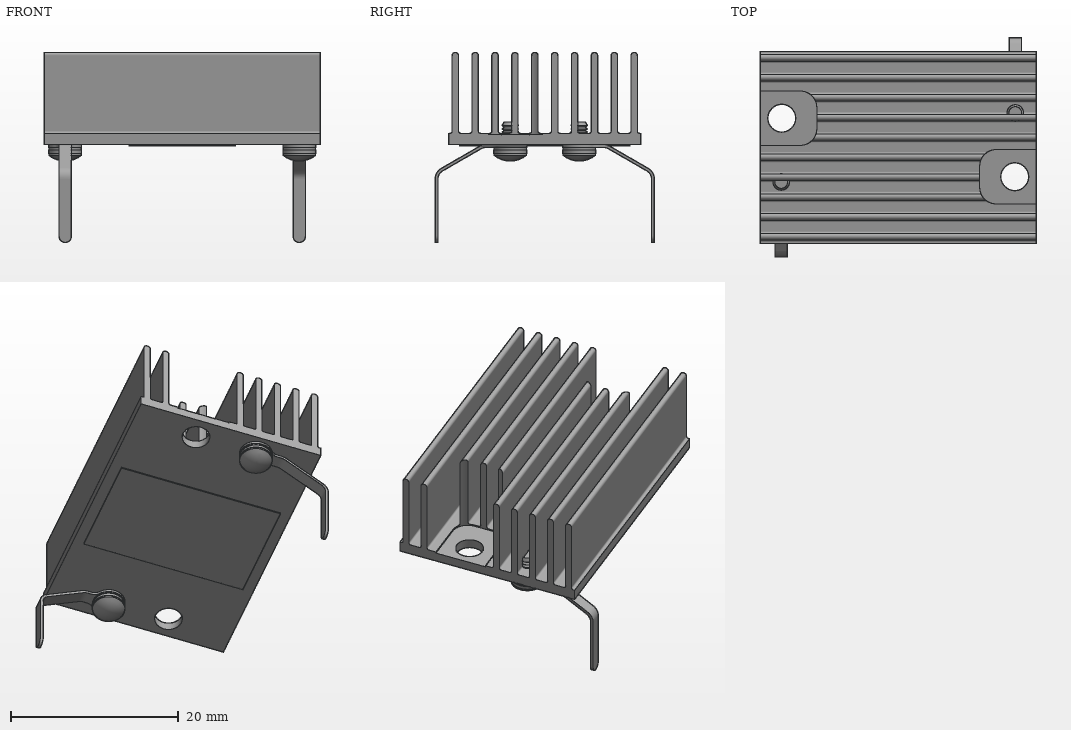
import cadquery as cq
import math

sink_length = 32.95
plate_width = 22.93
plate_thickness = 1.35
sink_height = 11.0
fin_count = 10
fin_pitch = 2.37
fin_thickness = 0.8
fin_root_radius = 0.247

pad_length = 6.75
pad_width = 6.5
pad_corner_radius = 1.98
pad_depth = 0.15
mount_hole_diameter = 3.3
mount_hole_x = 13.9
mount_hole_y = 3.5

film_length = 12.7
film_width = 20.3
film_thickness = 0.15

screw_x = 13.97
screw_y = 4.12
thread_radius = 1.0
thread_root_radius = 0.75
thread_pitch = 0.4
tip_taper_height = 0.43
screw_top = 2.7
flat_washer_radius = 1.95
flat_washer_thickness = 0.25
lock_washer_radius = 1.98
lock_washer_thickness = 0.43
head_radius = 1.95
head_rim_height = 0.23
head_dome_height = 0.7

strip_thickness = 0.35
ring_radius = 1.98
leg_width = 1.48
ring_blend_radius = 1.12
leg_span = 26.2
leg_bottom = 11.7
bend_inner_radius = 1.12
slope_angle = 30.0
lower_bend_end = 4.12

half_turns = (0, 180)

bend_outer_radius = bend_inner_radius + strip_thickness
leg_reach = leg_span / 2


def turned(body, angle):
    return body.rotate((0, 0, 0), (0, 0, 1), angle)


def fin_profile_plate():
    """Plate with round-topped fins, extruded along X from one outline."""
    half_width = plate_width / 2
    half_fin = fin_thickness / 2
    root_z = plate_thickness + fin_root_radius
    shoulder_z = sink_height - half_fin
    mid = fin_root_radius * (1 - math.sqrt(0.5))

    outline = cq.Workplane("YZ", origin=(-sink_length / 2, 0, 0))
    outline = outline.moveTo(-half_width, 0).lineTo(-half_width, plate_thickness)
    for index in range(fin_count):
        fin_y = (index - (fin_count - 1) / 2) * fin_pitch
        left = fin_y - half_fin
        right = fin_y + half_fin
        outline = (
            outline.lineTo(left - fin_root_radius, plate_thickness)
            .threePointArc((left - mid, plate_thickness + mid), (left, root_z))
            .lineTo(left, shoulder_z)
            .threePointArc((fin_y, sink_height), (right, shoulder_z))
            .lineTo(right, root_z)
            .threePointArc((right + mid, plate_thickness + mid), (right + fin_root_radius, plate_thickness))
        )
    outline = outline.lineTo(half_width, plate_thickness).lineTo(half_width, 0).close()
    return outline.extrude(sink_length)


def mounting_pad_cut():
    """Clearance through the fins and hole through the plate at the -X, +Y corner."""
    floor_z = plate_thickness - pad_depth
    clearance = (
        cq.Workplane("XY", origin=(-sink_length / 2 + pad_length / 2, mount_hole_y, floor_z))
        .rect(pad_length, pad_width)
        .extrude(sink_height)
        .edges("|Z and >X")
        .fillet(pad_corner_radius)
    )
    hole = (
        cq.Workplane("XY", origin=(-mount_hole_x, mount_hole_y, 0))
        .circle(mount_hole_diameter / 2)
        .extrude(plate_thickness)
    )
    return clearance.union(hole)


def screw_hole_cut():
    """Screw hole at the +X, +Y corner, biting into the fin beside it."""
    return cq.Workplane("XY", origin=(screw_x, screw_y, 0)).circle(thread_radius).extrude(screw_top)


def make_heat_sink():
    sink = fin_profile_plate()
    for angle in half_turns:
        sink = sink.cut(turned(mounting_pad_cut(), angle))
        sink = sink.cut(turned(screw_hole_cut(), angle))
    return sink


def make_thermal_film():
    return (
        cq.Workplane("XY", origin=(0, 0, -film_thickness))
        .rect(film_length, film_width)
        .extrude(film_thickness)
    )


def make_screw():
    """Pan-head screw revolved about its axis, with washers and V-shaped thread ridges."""
    flat_washer_top = -strip_thickness
    lock_washer_top = flat_washer_top - flat_washer_thickness
    head_top = lock_washer_top - lock_washer_thickness
    rim_bottom = head_top - head_rim_height
    dome_bottom = rim_bottom - head_dome_height
    dome_radius = (head_radius**2 + head_dome_height**2) / (2 * head_dome_height)
    dome_mid_x = head_radius / 2
    dome_mid_z = dome_bottom + dome_radius - math.sqrt(dome_radius**2 - dome_mid_x**2)

    top_crest = screw_top - tip_taper_height
    ridge_count = math.floor((top_crest - flat_washer_top) / thread_pitch)

    profile = (
        cq.Workplane("XZ")
        .moveTo(0, dome_bottom)
        .threePointArc((dome_mid_x, dome_mid_z), (head_radius, rim_bottom))
        .lineTo(head_radius, head_top)
        .lineTo(lock_washer_radius, head_top)
        .lineTo(lock_washer_radius, lock_washer_top)
        .lineTo(flat_washer_radius, lock_washer_top)
        .lineTo(flat_washer_radius, flat_washer_top)
        .lineTo(thread_root_radius, flat_washer_top)
    )
    for ridges_above in reversed(range(ridge_count)):
        crest_z = top_crest - ridges_above * thread_pitch
        profile = profile.lineTo(thread_root_radius, crest_z - thread_pitch / 2)
        profile = profile.lineTo(thread_radius, crest_z)
    profile = profile.lineTo(thread_root_radius, screw_top).lineTo(0, screw_top)
    screw = profile.close().revolve()
    return screw.translate((screw_x, screw_y, 0))


def strip_side_profile():
    """Bent strip seen along X: flat under the plate, sloping outward, then straight down."""
    slope = math.radians(slope_angle)
    turn = math.pi / 2 - slope
    lower_y = leg_reach - bend_outer_radius
    lower_z = -lower_bend_end
    upper_z = -bend_outer_radius
    slope_drop = upper_z - lower_z
    upper_y = lower_y - slope_drop / math.tan(slope)

    def on_bend(center_y, center_z, radius, angle):
        return (center_y + radius * math.cos(angle), center_z + radius * math.sin(angle))

    half_pi = math.pi / 2
    upper_mid = half_pi - slope / 2
    lower_mid = turn / 2
    outer = bend_outer_radius
    inner = bend_inner_radius
    return (
        cq.Workplane("YZ", origin=(screw_x - ring_radius, 0, 0))
        .moveTo(screw_y - ring_radius, 0)
        .lineTo(upper_y, 0)
        .threePointArc(on_bend(upper_y, upper_z, outer, upper_mid), on_bend(upper_y, upper_z, outer, turn))
        .lineTo(*on_bend(lower_y, lower_z, outer, turn))
        .threePointArc(on_bend(lower_y, lower_z, outer, lower_mid), (leg_reach, lower_z))
        .lineTo(leg_reach, -leg_bottom)
        .lineTo(leg_reach - strip_thickness, -leg_bottom)
        .lineTo(leg_reach - strip_thickness, lower_z)
        .threePointArc(on_bend(lower_y, lower_z, inner, lower_mid), on_bend(lower_y, lower_z, inner, turn))
        .lineTo(*on_bend(upper_y, upper_z, inner, turn))
        .threePointArc(on_bend(upper_y, upper_z, inner, upper_mid), (upper_y, -strip_thickness))
        .lineTo(screw_y - ring_radius, -strip_thickness)
        .close()
        .extrude(2 * ring_radius)
    )


def strip_plan():
    """Ring blended into the leg, as a tall block that trims the bent strip."""
    half_leg = leg_width / 2
    blend_x = half_leg + ring_blend_radius
    center_distance = ring_radius + ring_blend_radius
    blend_y = math.sqrt(center_distance**2 - blend_x**2)
    touch_x = blend_x * ring_radius / center_distance
    touch_y = blend_y * ring_radius / center_distance
    mid_angle = math.atan2(blend_y, blend_x) / 2
    mid_x = blend_x - ring_blend_radius * math.cos(mid_angle)
    mid_y = blend_y - ring_blend_radius * math.sin(mid_angle)
    leg_end = leg_reach - screw_y
    return (
        cq.Workplane("XY", origin=(screw_x, screw_y, -leg_bottom))
        .moveTo(touch_x, touch_y)
        .threePointArc((mid_x, mid_y), (half_leg, blend_y))
        .lineTo(half_leg, leg_end)
        .lineTo(-half_leg, leg_end)
        .lineTo(-half_leg, blend_y)
        .threePointArc((-mid_x, mid_y), (-touch_x, touch_y))
        .threePointArc((0, -ring_radius), (touch_x, touch_y))
        .close()
        .extrude(leg_bottom)
    )


def leg_tip_trim():
    """Block with a half-round foot that rounds off the lower end of the leg."""
    tip_radius = leg_width / 2
    tip_z = tip_radius - leg_bottom
    front_plane = cq.Workplane("XZ", origin=(screw_x, leg_reach, tip_z))
    foot = front_plane.circle(tip_radius).extrude(leg_reach)
    above_foot = front_plane.center(0, -tip_z / 2).rect(2 * ring_radius, -tip_z).extrude(leg_reach)
    return above_foot.union(foot)


def make_terminal():
    screw_hole = (
        cq.Workplane("XY", origin=(screw_x, screw_y, -strip_thickness))
        .circle(thread_radius)
        .extrude(strip_thickness)
    )
    return strip_side_profile().intersect(strip_plan()).intersect(leg_tip_trim()).cut(screw_hole)


heat_sink = make_heat_sink()
thermal_film = make_thermal_film()
screws = [turned(make_screw(), angle) for angle in half_turns]
terminals = [turned(make_terminal(), angle) for angle in half_turns]

result = cq.Compound.makeCompound(
    [
        heat_sink.val(),
        thermal_film.val(),
        *[screw.val() for screw in screws],
        *[terminal.val() for terminal in terminals],
    ]
)